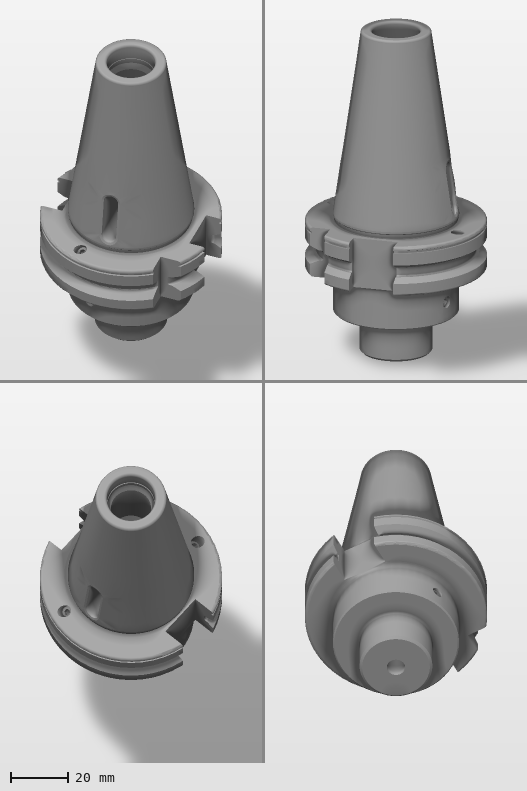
import cadquery as cq
import math

clearance = 1.0

gauge_radius = 44.45 / 2
taper_ratio = 7 / 24
shank_top_z = 68.4
bottom_z = -50.0
shank_edge_height = 1.0
shank_edge_width = 0.75
shank_edge_round = 1.0

land_top_z = 1.2
land_bottom_z = 0.45
neck_top_z = 0.1
neck_radius = 21.7
recess_radius = 22.55
recess_depth = 0.15
recess_chamfer_width = 0.75

flange_radius = 63.55 / 2
flange_top_z = -1.0
flange_bottom_z = -19.1
flange_edge_round = 1.0
ring_groove_depth = 0.7
ring_groove_bottom_z = -3.3
ring_groove_height = 0.7
ring_groove_flare = 0.3
vee_center_z = -11.1
vee_floor_radius = 27.9
vee_mouth_half_width = 3.4
vee_flank_angle = 30.0
vee_floor_half_width = 1.85
vee_floor_fillet = 0.5

drive_slot_width = 16.1
left_slot_x = -22.6
right_slot_x = 25.0
notch_edge = 18.4

body_radius = 22.0
body_bottom_z = -35.0
body_fillet = 1.7
body_edge_chamfer = 0.5
spigot_radius = 12.7
spigot_fillet = 0.8
spigot_edge_chamfer = 0.9

bore_radius = 8.45
bore_mouth_round = 1.0
bore_depth = 6.0
pilot_radius = 8.2
pilot_depth = 7.8
countersink_slope = 60.0
thread_radius = 7.05
thread_depth = 32.0
drill_tip_angle = 118.0
through_radius = 3.2

cross_slot_width = 5.4
cross_slot_top_z = 21.2
cross_slot_bottom_z = 2.3
cross_slot_chamfer_width = 0.8
cross_slot_chamfer_depth = 0.3

plug_azimuths = (70.0, 250.0)
face_hole_pitch_radius = 26.7
face_hole_diameter = 4.3
face_hole_tilt = 30.0
face_plug_depth = 2.2
side_hole_z = -27.7
side_hole_diameter = 4.2
side_plug_depth = 0.8
plug_chamfer = 0.4
socket_across_flats = 2.0
socket_depth = 1.5


def taper_radius(z):
    """Radius of the 7/24 taper at height z."""
    return gauge_radius - z * taper_ratio / 2


def revolved(profile):
    """Solid of revolution about Z from an unclosed (radius, height) profile."""
    return profile.close().revolve(360, (0, 0, 0), (0, 1, 0))


def make_shank():
    edge_z = shank_top_z - shank_edge_height
    land_radius = taper_radius(land_top_z)
    neck_bottom_z = flange_top_z - recess_depth
    return revolved(
        cq.Workplane("XZ")
        .moveTo(0, neck_bottom_z)
        .lineTo(neck_radius, neck_bottom_z)
        .lineTo(neck_radius, neck_top_z)
        .lineTo(land_radius, land_bottom_z)
        .lineTo(land_radius, land_top_z)
        .lineTo(taper_radius(edge_z), edge_z)
        .radiusArc((taper_radius(shank_top_z) - shank_edge_width, shank_top_z), -shank_edge_round)
        .lineTo(0, shank_top_z)
    )


def make_flange():
    recess_z = flange_top_z - recess_depth
    ring_groove_radius = flange_radius - ring_groove_depth
    ring_groove_top_z = ring_groove_bottom_z + ring_groove_height
    flange = revolved(
        cq.Workplane("XZ")
        .moveTo(0, flange_bottom_z)
        .lineTo(flange_radius - flange_edge_round, flange_bottom_z)
        .radiusArc((flange_radius, flange_bottom_z + flange_edge_round), -flange_edge_round)
        .lineTo(flange_radius, ring_groove_bottom_z)
        .lineTo(ring_groove_radius, ring_groove_bottom_z)
        .lineTo(ring_groove_radius, ring_groove_top_z)
        .lineTo(flange_radius, ring_groove_top_z + ring_groove_flare)
        .lineTo(flange_radius, flange_top_z - flange_edge_round)
        .radiusArc((flange_radius - flange_edge_round, flange_top_z), -flange_edge_round)
        .lineTo(recess_radius + recess_chamfer_width, flange_top_z)
        .lineTo(recess_radius, recess_z)
        .lineTo(0, recess_z)
    )
    return flange.cut(make_vee_groove())


def make_vee_groove():
    """Vee groove whose flanks end in a straight-walled channel."""
    flank_height = vee_mouth_half_width - vee_floor_half_width
    flank_end_radius = flange_radius - flank_height / math.tan(math.radians(vee_flank_angle))
    outer_radius = flange_radius + clearance
    groove = revolved(
        cq.Workplane("XZ")
        .moveTo(vee_floor_radius, vee_center_z - vee_floor_half_width)
        .lineTo(flank_end_radius, vee_center_z - vee_floor_half_width)
        .lineTo(flange_radius, vee_center_z - vee_mouth_half_width)
        .lineTo(outer_radius, vee_center_z - vee_mouth_half_width)
        .lineTo(outer_radius, vee_center_z + vee_mouth_half_width)
        .lineTo(flange_radius, vee_center_z + vee_mouth_half_width)
        .lineTo(flank_end_radius, vee_center_z + vee_floor_half_width)
        .lineTo(vee_floor_radius, vee_center_z + vee_floor_half_width)
    )
    floor_edges = cq.selectors.RadiusNthSelector(0)
    return groove.edges("%CIRCLE").edges(floor_edges).fillet(vee_floor_fillet)


def make_flange_cutouts():
    """Two unequal drive slots and the square corner notch, cut through the flange and its lower fillet."""
    cutout_bottom_z = flange_bottom_z - body_fillet
    height = flange_top_z - cutout_bottom_z
    reach = flange_radius
    plane = cq.Workplane("XY").workplane(offset=cutout_bottom_z)
    left = plane.center(left_slot_x - reach / 2, 0).rect(reach, drive_slot_width).extrude(height)
    right = plane.center(right_slot_x + reach / 2, 0).rect(reach, drive_slot_width).extrude(height)
    notch_center = notch_edge + reach / 2
    notch = plane.center(notch_center, -notch_center).rect(reach, reach).extrude(height)
    return left.union(right).union(notch)


def make_body():
    fillet_bottom_z = flange_bottom_z - body_fillet
    spigot_fillet_z = body_bottom_z - spigot_fillet
    return revolved(
        cq.Workplane("XZ")
        .moveTo(0, bottom_z)
        .lineTo(spigot_radius - spigot_edge_chamfer, bottom_z)
        .lineTo(spigot_radius, bottom_z + spigot_edge_chamfer)
        .lineTo(spigot_radius, spigot_fillet_z)
        .radiusArc((spigot_radius + spigot_fillet, body_bottom_z), spigot_fillet)
        .lineTo(body_radius - body_edge_chamfer, body_bottom_z)
        .lineTo(body_radius, body_bottom_z + body_edge_chamfer)
        .lineTo(body_radius, fillet_bottom_z)
        .radiusArc((body_radius + body_fillet, flange_bottom_z), body_fillet)
        .lineTo(0, flange_bottom_z)
    )


def make_bore():
    bore_bottom_z = shank_top_z - bore_depth
    pilot_bottom_z = shank_top_z - pilot_depth
    thread_top_z = pilot_bottom_z - (pilot_radius - thread_radius) * math.tan(math.radians(countersink_slope))
    thread_bottom_z = shank_top_z - thread_depth
    drill_tip_height = (thread_radius - through_radius) / math.tan(math.radians(drill_tip_angle / 2))
    return revolved(
        cq.Workplane("XZ")
        .moveTo(0, bottom_z)
        .lineTo(through_radius, bottom_z)
        .lineTo(through_radius, thread_bottom_z - drill_tip_height)
        .lineTo(thread_radius, thread_bottom_z)
        .lineTo(thread_radius, thread_top_z)
        .lineTo(pilot_radius, pilot_bottom_z)
        .lineTo(pilot_radius, bore_bottom_z)
        .lineTo(bore_radius, bore_bottom_z)
        .lineTo(bore_radius, shank_top_z - bore_mouth_round)
        .radiusArc((bore_radius + bore_mouth_round, shank_top_z), bore_mouth_round)
        .lineTo(0, shank_top_z)
    )


def make_cross_slot():
    length = cross_slot_top_z - cross_slot_bottom_z
    center_z = (cross_slot_top_z + cross_slot_bottom_z) / 2
    return (
        cq.Workplane("XZ")
        .center(0, center_z)
        .slot2D(length, cross_slot_width, 90)
        .extrude(2 * gauge_radius, both=True)
    )


def make_slotted_shank():
    """Shank with the cross slot, chamfered around both mouths."""
    slotted = make_shank().cut(make_cross_slot())
    box_half_width = cross_slot_width / 2 + clearance
    box_bottom_z = cross_slot_bottom_z - clearance / 2
    box_top_z = cross_slot_top_z + clearance / 2
    for side in (1, -1):
        mouth_y = side * taper_radius(cross_slot_bottom_z)
        box = cq.selectors.BoxSelector(
            (-box_half_width, mouth_y / 2, box_bottom_z),
            (box_half_width, mouth_y * 2, box_top_z),
        )
        slotted = slotted.edges(box).chamfer(cross_slot_chamfer_width, cross_slot_chamfer_depth)
    return slotted


def make_plug_recess(mouth, inward, diameter, plug_depth):
    """Hole down to a chamfered plug that carries a hexagon socket with a drill-point bottom."""
    overrun = diameter
    radius = diameter / 2
    direction = cq.Vector(*inward)
    start = cq.Vector(*mouth) - direction * overrun
    plane = cq.Plane(origin=start.toTuple(), normal=inward)
    plug_face = overrun + plug_depth
    hole = cq.Workplane(plane).circle(radius).extrude(plug_face + plug_chamfer)
    plug_tip = (
        cq.Workplane(plane)
        .workplane(offset=plug_face)
        .circle(radius - plug_chamfer)
        .workplane(offset=plug_chamfer)
        .circle(radius)
        .loft()
    )
    across_corners = socket_across_flats / math.cos(math.radians(30))
    socket_bottom = plug_face + socket_depth
    socket = cq.Workplane(plane).polygon(6, across_corners).extrude(socket_bottom)
    drill_point = cq.Solid.makeCone(
        socket_across_flats / 2,
        0,
        socket_across_flats / 2,
        pnt=start + direction * socket_bottom,
        dir=direction,
    )
    return hole.cut(plug_tip).union(socket).union(cq.Workplane(drill_point))


def make_face_plug(azimuth):
    cos_azimuth = math.cos(math.radians(azimuth))
    sin_azimuth = math.sin(math.radians(azimuth))
    sin_tilt = math.sin(math.radians(face_hole_tilt))
    cos_tilt = math.cos(math.radians(face_hole_tilt))
    mouth = (face_hole_pitch_radius * cos_azimuth, face_hole_pitch_radius * sin_azimuth, flange_top_z)
    inward = (-sin_tilt * cos_azimuth, -sin_tilt * sin_azimuth, -cos_tilt)
    return make_plug_recess(mouth, inward, face_hole_diameter, face_plug_depth)


def make_side_plug(azimuth):
    cos_azimuth = math.cos(math.radians(azimuth))
    sin_azimuth = math.sin(math.radians(azimuth))
    mouth = (body_radius * cos_azimuth, body_radius * sin_azimuth, side_hole_z)
    return make_plug_recess(mouth, (-cos_azimuth, -sin_azimuth, 0), side_hole_diameter, side_plug_depth)


flange_and_body = make_flange().union(make_body()).cut(make_flange_cutouts())
result = flange_and_body.union(make_slotted_shank()).cut(make_bore())
for plug_azimuth in plug_azimuths:
    result = result.cut(make_face_plug(plug_azimuth))
    result = result.cut(make_side_plug(plug_azimuth))